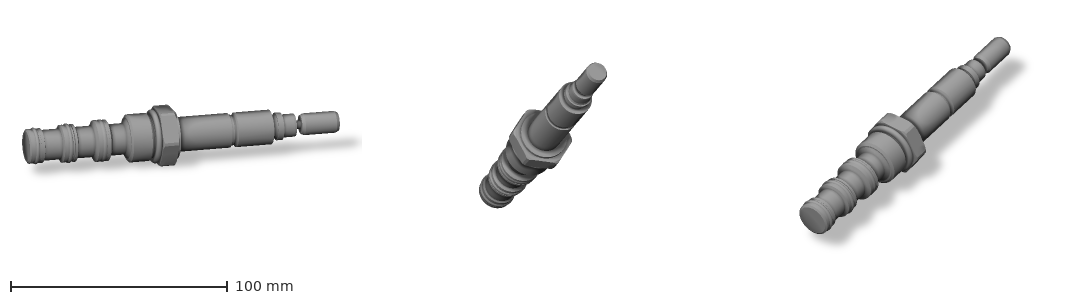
import cadquery as cq
import math

overall_length = 148.7

knob_r = 5.0
knob_end_r = 4.3
knob_chamfer = 1.5
knob_bottom_y = 130.9
stem_r = 2.0

tube_r = 8.0
tube_bottom_y = 71.1
tube_top_y = 116.5
sleeve_r = 5.4
sleeve_tip_r = 3.4
sleeve_rim_r = 5.2
sleeve_top_y = 128.5
sleeve_rim_y = 128.0
sleeve_chamfer = 1.0
collar_r = 6.4
collar_lead_r = 5.8
collar_bottom_y = 119.0
collar_top_y = 121.7
collar_lead = 0.9
undercut_y = 117.8
snap_groove_r = 6.7
snap_shoulder_r = 7.1
snap_shoulder_y = 96.5
snap_floor_y = 97.9
snap_taper_y = 98.8
snap_top_y = 99.6

across_flats = 25.5
across_corners = 28.5
hex_bottom_y = 62.0
hex_top_y = 69.6
hex_face_r = 13.4
hex_chamfer = 0.52
hex_collar_r = 11.2

face_ring_r = 12.5
face_ring_half = 1.3
face_ring_y = hex_bottom_y - face_ring_half

barrel_r = 11.2
barrel_top_r = 10.0
barrel_top_y = face_ring_y - face_ring_half
barrel_relief = 0.5
barrel_lead = 1.3
barrel_bottom_y = 47.7
barrel_chamfer = 0.9
taper_top_r = 9.2
taper_bottom_y = 46.3
neck_r = 7.3
nose_neck_r = 7.1

upper_band_y = 35.5
upper_band_r = 9.7
upper_crest_r = 9.8
upper_band_top = 2.7
middle_band_y = 19.5
middle_band_r = 8.8
middle_crest_r = 9.2
nose_band_y = 3.7
nose_band_r = 8.0
nose_crest_r = 8.5
nose_band_top = 3.3
nose_top_taper = 0.3
nose_chamfer = 0.6
ring_half = 0.9
backup_half = 1.8
band_half = 3.1
backup_drop = 0.1
upper_taper = 1.3
middle_taper = 0.7
slot_width = 0.3
slot_depth = 1.0


def turned(points):
    """Revolve an outline of (radius, station) points, closed along the axis, about Y."""
    bottom_y = points[0][1]
    top_y = points[-1][1]
    outline = cq.Workplane("XY").polyline([(0, bottom_y), *points, (0, top_y)]).close()
    return outline.revolve(360, (0, 0, 0), (0, 1, 0))


def cylinder(radius, bottom_y, top_y):
    return turned([(radius, bottom_y), (radius, top_y)])


def seal_ring(base_r, crest_r, centre_y, half_width):
    """A disc whose rim bulges in two arcs from base_r to crest_r."""
    rise = crest_r - base_r
    arc_r = (rise**2 + half_width**2) / (2 * rise)
    half_angle = math.atan(rise / half_width)
    middle_r = crest_r - arc_r * (1 - math.cos(half_angle))
    middle_offset = arc_r * math.sin(half_angle)
    bottom_y = centre_y - half_width
    top_y = centre_y + half_width
    outline = (
        cq.Workplane("XY")
        .moveTo(0, bottom_y)
        .lineTo(base_r, bottom_y)
        .threePointArc((middle_r, centre_y - middle_offset), (crest_r, centre_y))
        .threePointArc((middle_r, centre_y + middle_offset), (base_r, top_y))
        .lineTo(0, top_y)
        .close()
    )
    return outline.revolve(360, (0, 0, 0), (0, 1, 0))


def seal_band(centre_y, land_r, crest_r, top, top_taper, top_neck_r, bottom_taper, bottom_neck_r):
    """Lands tapering into the necks, with a slightly lower backup ring on each side of the seal ring."""
    backup_r = land_r - backup_drop
    bottom_y = centre_y - band_half
    top_y = centre_y + top
    band = turned([
        (bottom_neck_r, bottom_y - bottom_taper),
        (land_r, bottom_y),
        (land_r, centre_y - backup_half),
        (backup_r, centre_y - backup_half),
        (backup_r, centre_y + backup_half),
        (land_r, centre_y + backup_half),
        (land_r, top_y),
        (top_neck_r, top_y + top_taper),
    ])
    return band.union(seal_ring(backup_r, crest_r, centre_y, ring_half))


def make_hexagon():
    """Hexagon with its corners rounded to across_corners and both end faces chamfered."""
    prism = (
        cq.Workplane("XZ", origin=(0, hex_top_y, 0))
        .polygon(6, across_flats, circumscribed=True)
        .extrude(hex_top_y - hex_bottom_y)
        .rotate((0, 0, 0), (0, 1, 0), 30)
    )
    corner_r = across_corners / 2
    envelope = turned([
        (hex_face_r, hex_bottom_y),
        (corner_r, hex_bottom_y + hex_chamfer),
        (corner_r, hex_top_y - hex_chamfer),
        (hex_face_r, hex_top_y),
    ])
    return prism.intersect(envelope)


def make_barrel():
    """Largest diameter, tapering down to the neck, with a short relief under the seal ring."""
    lead_top_y = barrel_top_y - barrel_relief
    return turned([
        (neck_r, taper_bottom_y),
        (taper_top_r, barrel_bottom_y),
        (barrel_top_r, barrel_bottom_y),
        (barrel_r, barrel_bottom_y + barrel_chamfer),
        (barrel_r, lead_top_y - barrel_lead),
        (barrel_top_r, lead_top_y),
        (barrel_top_r, barrel_top_y),
    ])


def make_slot():
    """Narrow ring-shaped slot where the middle band's upper land meets its backup ring."""
    slot_bottom_y = middle_band_y + backup_half - slot_width / 2
    slot_top_y = slot_bottom_y + slot_width
    core = cylinder(middle_band_r - slot_depth, slot_bottom_y, slot_top_y)
    return cylinder(middle_crest_r, slot_bottom_y, slot_top_y).cut(core)


def make_cartridge():
    upper_band = seal_band(
        upper_band_y, upper_band_r, upper_crest_r,
        upper_band_top, upper_taper, neck_r, upper_taper, neck_r,
    )
    middle_band = seal_band(
        middle_band_y, middle_band_r, middle_crest_r,
        band_half, middle_taper, neck_r, middle_taper, nose_neck_r,
    )
    nose_band = seal_band(
        nose_band_y, nose_band_r, nose_crest_r,
        nose_band_top, nose_top_taper, nose_neck_r, nose_chamfer, nose_neck_r,
    )
    face_ring_base_r = face_ring_r - face_ring_half
    return (
        make_barrel()
        .union(make_hexagon())
        .union(cylinder(hex_collar_r, hex_top_y, tube_bottom_y))
        .union(seal_ring(face_ring_base_r, face_ring_r, face_ring_y, face_ring_half))
        .union(cylinder(neck_r, middle_band_y, barrel_bottom_y))
        .union(cylinder(nose_neck_r, nose_band_y, middle_band_y))
        .union(upper_band)
        .union(middle_band)
        .union(nose_band)
        .cut(make_slot())
    )


def make_tube():
    return turned([
        (tube_r, tube_bottom_y),
        (tube_r, snap_shoulder_y),
        (snap_shoulder_r, snap_shoulder_y),
        (snap_shoulder_r, snap_floor_y),
        (snap_groove_r, snap_floor_y),
        (snap_groove_r, snap_taper_y),
        (tube_r, snap_top_y),
        (tube_r, tube_top_y),
        (collar_lead_r, tube_top_y),
        (sleeve_r, undercut_y),
        (collar_lead_r, collar_bottom_y),
        (collar_r, collar_bottom_y),
        (collar_r, collar_top_y),
        (collar_lead_r, collar_top_y),
        (sleeve_r, collar_top_y + collar_lead),
        (sleeve_r, sleeve_rim_y - sleeve_chamfer),
        (sleeve_rim_r, sleeve_rim_y),
        (sleeve_tip_r, sleeve_rim_y),
        (sleeve_tip_r, sleeve_top_y),
    ])


def make_knob():
    """Chamfered knob on a thin stem that stands on the end of the tube."""
    return turned([
        (stem_r, sleeve_top_y),
        (stem_r, knob_bottom_y),
        (knob_end_r, knob_bottom_y),
        (knob_r, knob_bottom_y + knob_chamfer),
        (knob_r, overall_length - knob_chamfer),
        (knob_end_r, overall_length),
    ])


cartridge = make_cartridge()
tube = make_tube()
knob = make_knob()

result = cq.Compound.makeCompound([cartridge.val(), tube.val(), knob.val()])